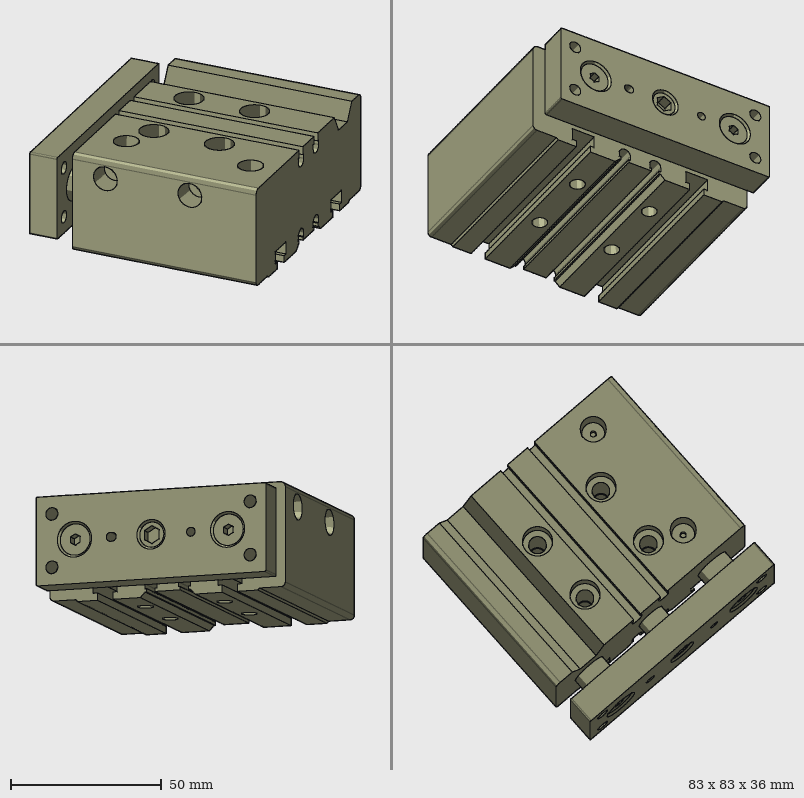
import cadquery as cq
import math

TOTAL_LENGTH = 83
HOUSING_WIDTH = 83
HOUSING_HEIGHT = 36.0
PLATE_THICKNESS = 10
PLATE_GAP = 6.1
MID_Z = HOUSING_HEIGHT / 2
HOUSING_X = PLATE_THICKNESS + PLATE_GAP
HOUSING_LENGTH = TOTAL_LENGTH - HOUSING_X

GUIDE_ROD_DIA = 12.0
GUIDE_ROD_Y = 27.0
PISTON_ROD_DIA = 10
BORE_END_WALL = 3.3
RODS = [(-GUIDE_ROD_Y, GUIDE_ROD_DIA), (0, PISTON_ROD_DIA), (GUIDE_ROD_Y, GUIDE_ROD_DIA)]

TOP_CORNER_RADIUS = 1.8
BOTTOM_CORNER_RADIUS = 1.5
FOOT_HALF_WIDTH = 32.45
FOOT_HEIGHT = 0.7
FOOT_FLANK = 0.7

CHANNEL_Y = 27.4
CHANNEL_TOP_WIDTH = 13.95
CHANNEL_FLOOR_WIDTH = 7.0
CHANNEL_WALL_ANGLE = 60
CHANNEL_DEPTH = (CHANNEL_TOP_WIDTH - CHANNEL_FLOOR_WIDTH) / 2 * math.tan(math.radians(CHANNEL_WALL_ANGLE))

SENSOR_Y = 5.9
SENSOR_SLOT_WIDTH = 3.0
SENSOR_SLOT_DEPTH = 2.9
SENSOR_CHANNEL_WIDTH = 4.2
SENSOR_ROUND_DEPTH = 4.5
SENSOR_RIB_RECESS = 1.75
SENSOR_CHAMFER = 2.2

T_SLOT_Y = 22.0
T_MOUTH_WIDTH = 5.5
T_MOUTH_HEIGHT = 2.5
T_HEAD_WIDTH = 8.4
T_HEAD_HEIGHT = 4.5

MOUNT_X = (33.0, 56.9)
MOUNT_Y = 13.95
MOUNT_DIA = 5.8
MOUNT_THREAD_DIA = 5.2
MOUNT_THREAD_LENGTH = 12.0
MOUNT_COUNTERBORE_DIA = 10
MOUNT_COUNTERBORE_DEPTH = 6.15

PORT_MOUTH_DIA = 8.6
PORT_FLOOR_DIA = 7.6
PORT_DEPTH = 7.5
PASSAGE_DIA = 2.0
PASSAGE_LENGTH = 2.5
FIRST_PORT_X = 28.05
TOP_PORT_X = (FIRST_PORT_X, 73.4)
TOP_PORT_Y = -24.9
SIDE_PORT_X = (FIRST_PORT_X, 58.85)
SIDE_PORT_Z = 29.4

PLATE_WIDTH = 81.0
PLATE_HEIGHT = 29.9
PLATE_CORNER_RADIUS = 0.5
THREAD_HOLE_DIA = 4.2
THREAD_HOLE_SPACING_Y = 69.9
THREAD_HOLE_SPACING_Z = 17.9
DOWEL_HOLE_Y = 14.0
DOWEL_HOLE_DIA = 3.0
DOWEL_SLOT_LENGTH = 3.5

RECESS_DEPTH = 0.75
RECESS_TAPER = 0.75
SOCKET_DEPTH = 3.7
GUIDE_SOCKET_FLATS = 3.3
PISTON_SOCKET_FLATS = 5.2


def bar_along_x(y, z, width, height):
    """Bar as long as the housing, centred across y and rising from z."""
    return cq.Workplane("XY").box(HOUSING_LENGTH, width, height, centered=(False, True, False)).translate(
        (HOUSING_X, y, z)
    )


def cylinder(start, direction, diameter, length):
    return cq.Workplane(cq.Solid.makeCylinder(diameter / 2, length, cq.Vector(*start), cq.Vector(*direction)))


def cone(start, direction, start_diameter, end_diameter, length):
    return cq.Workplane(
        cq.Solid.makeCone(start_diameter / 2, end_diameter / 2, length, cq.Vector(*start), cq.Vector(*direction))
    )


def rod(y, diameter):
    """Rod from the back of the plate to the end of its bore."""
    length = TOTAL_LENGTH - BORE_END_WALL - PLATE_THICKNESS
    return cylinder((PLATE_THICKNESS, y, MID_Z), (1, 0, 0), diameter, length)


def housing_block():
    body_height = HOUSING_HEIGHT - FOOT_HEIGHT
    block = bar_along_x(0, FOOT_HEIGHT, HOUSING_WIDTH, body_height)
    block = block.edges("|X and >Z").fillet(TOP_CORNER_RADIUS)
    block = block.edges("|X and <Z").fillet(BOTTOM_CORNER_RADIUS)
    foot = (
        cq.Workplane("YZ", origin=(HOUSING_X, 0, 0))
        .moveTo(-FOOT_HALF_WIDTH, FOOT_HEIGHT)
        .lineTo(FOOT_HALF_WIDTH, FOOT_HEIGHT)
        .lineTo(FOOT_HALF_WIDTH - FOOT_FLANK, 0)
        .lineTo(FOOT_FLANK - FOOT_HALF_WIDTH, 0)
        .close()
        .extrude(HOUSING_LENGTH)
    )
    return block.union(foot)


def v_channel():
    half_top = CHANNEL_TOP_WIDTH / 2
    half_floor = CHANNEL_FLOOR_WIDTH / 2
    floor_z = HOUSING_HEIGHT - CHANNEL_DEPTH
    return (
        cq.Workplane("YZ", origin=(HOUSING_X, CHANNEL_Y, 0))
        .moveTo(-half_top, HOUSING_HEIGHT)
        .lineTo(half_top, HOUSING_HEIGHT)
        .lineTo(half_floor, floor_z)
        .lineTo(-half_floor, floor_z)
        .close()
        .extrude(HOUSING_LENGTH)
    )


def sensor_groove(y, face_z, inward):
    """Groove cut from the face at face_z; inward is 1 to cut upward and -1 to cut downward."""
    half_slot = SENSOR_SLOT_WIDTH / 2
    half_channel = SENSOR_CHANNEL_WIDTH / 2
    ledge_z = face_z + inward * SENSOR_SLOT_DEPTH
    round_z = face_z + inward * SENSOR_ROUND_DEPTH
    return (
        cq.Workplane("YZ", origin=(HOUSING_X, y, 0))
        .moveTo(-half_slot, face_z)
        .lineTo(-half_slot, ledge_z)
        .lineTo(-half_channel, ledge_z)
        .lineTo(-half_channel, round_z)
        .threePointArc((0, round_z + inward * half_channel), (half_channel, round_z))
        .lineTo(half_channel, ledge_z)
        .lineTo(half_slot, ledge_z)
        .lineTo(half_slot, face_z)
        .close()
        .extrude(HOUSING_LENGTH)
    )


def sensor_entry():
    """Recess of the rib between the lower sensor grooves, widening to chamfers at the outer edges."""
    half_floor = SENSOR_Y + SENSOR_SLOT_WIDTH / 2 + SENSOR_CHAMFER - SENSOR_RIB_RECESS
    half_mouth = half_floor + SENSOR_RIB_RECESS
    return (
        cq.Workplane("YZ", origin=(HOUSING_X, 0, 0))
        .moveTo(-half_mouth, 0)
        .lineTo(half_mouth, 0)
        .lineTo(half_floor, SENSOR_RIB_RECESS)
        .lineTo(-half_floor, SENSOR_RIB_RECESS)
        .close()
        .extrude(HOUSING_LENGTH)
    )


def t_slot(y):
    mouth = bar_along_x(y, 0, T_MOUTH_WIDTH, T_MOUTH_HEIGHT)
    return mouth.union(bar_along_x(y, T_MOUTH_HEIGHT, T_HEAD_WIDTH, T_HEAD_HEIGHT))


def mounting_hole(x, y):
    up = (0, 0, 1)
    thread = cylinder((x, y, 0), up, MOUNT_THREAD_DIA, HOUSING_HEIGHT)
    clearance = cylinder((x, y, MOUNT_THREAD_LENGTH), up, MOUNT_DIA, HOUSING_HEIGHT - MOUNT_THREAD_LENGTH)
    counterbore_z = HOUSING_HEIGHT - MOUNT_COUNTERBORE_DEPTH
    counterbore = cylinder((x, y, counterbore_z), up, MOUNT_COUNTERBORE_DIA, MOUNT_COUNTERBORE_DEPTH)
    return thread.union(clearance).union(counterbore)


def port(mouth, direction):
    taper = cone(mouth, direction, PORT_MOUTH_DIA, PORT_FLOOR_DIA, PORT_DEPTH)
    return taper.union(cylinder(mouth, direction, PASSAGE_DIA, PORT_DEPTH + PASSAGE_LENGTH))


def make_housing():
    housing = housing_block().cut(v_channel()).cut(sensor_entry())
    for side in (-1, 1):
        y = side * SENSOR_Y
        housing = housing.cut(sensor_groove(y, HOUSING_HEIGHT, -1))
        housing = housing.cut(sensor_groove(y, 0, 1))
        housing = housing.cut(t_slot(side * T_SLOT_Y))
        for x in MOUNT_X:
            housing = housing.cut(mounting_hole(x, side * MOUNT_Y))
    for x in TOP_PORT_X:
        housing = housing.cut(port((x, TOP_PORT_Y, HOUSING_HEIGHT), (0, 0, -1)))
    for x in SIDE_PORT_X:
        housing = housing.cut(port((x, -HOUSING_WIDTH / 2, SIDE_PORT_Z), (0, 1, 0)))
    for y, diameter in RODS:
        housing = housing.cut(rod(y, diameter))
    return housing


def rod_end_recess(y, diameter, socket_flats):
    recess = cone((0, y, MID_Z), (1, 0, 0), diameter, diameter - 2 * RECESS_TAPER, RECESS_DEPTH)
    across_corners = socket_flats / math.cos(math.pi / 6)
    socket = (
        cq.Workplane("YZ", origin=(0, y, MID_Z))
        .transformed(rotate=(0, 0, 90))
        .polygon(6, across_corners)
        .extrude(RECESS_DEPTH + SOCKET_DEPTH)
    )
    return recess.union(socket)


def dowel_slot():
    """Dowel hole lengthened along Y."""
    return (
        cq.Workplane("YZ", origin=(0, DOWEL_HOLE_Y, MID_Z))
        .slot2D(DOWEL_SLOT_LENGTH, DOWEL_HOLE_DIA)
        .extrude(PLATE_THICKNESS)
    )


def make_rod_plate():
    plate = cq.Workplane("XY").box(PLATE_THICKNESS, PLATE_WIDTH, PLATE_HEIGHT)
    plate = plate.translate((PLATE_THICKNESS / 2, 0, MID_Z)).edges("|X").fillet(PLATE_CORNER_RADIUS)
    for y, diameter in RODS:
        socket_flats = PISTON_SOCKET_FLATS if y == 0 else GUIDE_SOCKET_FLATS
        plate = plate.union(rod(y, diameter)).cut(rod_end_recess(y, diameter, socket_flats))
    for side in (-1, 1):
        for level in (-1, 1):
            thread_start = (0, side * THREAD_HOLE_SPACING_Y / 2, MID_Z + level * THREAD_HOLE_SPACING_Z / 2)
            plate = plate.cut(cylinder(thread_start, (1, 0, 0), THREAD_HOLE_DIA, PLATE_THICKNESS))
    plate = plate.cut(cylinder((0, -DOWEL_HOLE_Y, MID_Z), (1, 0, 0), DOWEL_HOLE_DIA, PLATE_THICKNESS))
    return plate.cut(dowel_slot())


housing = make_housing()
rod_plate = make_rod_plate()

result = cq.Compound.makeCompound([housing.val(), rod_plate.val()])